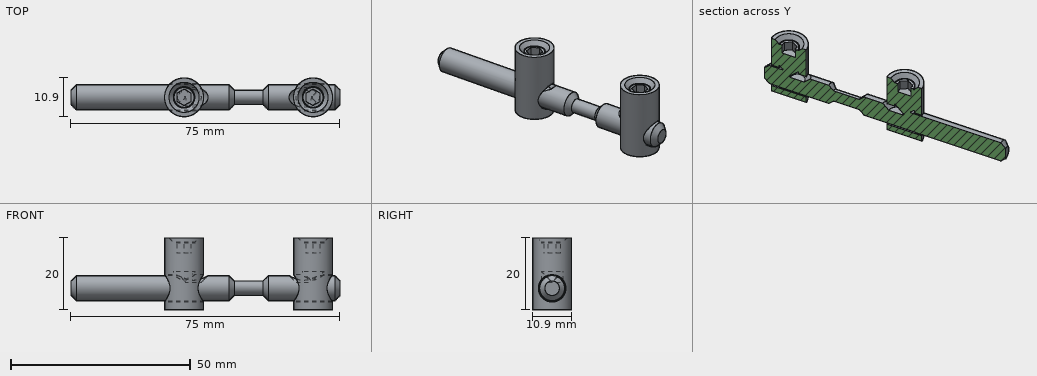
import cadquery as cq
import math

rod_length = 75.0
rod_diameter = 7.05
rod_axis_height = 6.0
rod_chamfer = 1.5
neck_start = 45.5
neck_length = 7.95
neck_end = neck_start + neck_length
rod_radius = rod_diameter / 2
neck_radius = rod_radius - rod_chamfer

sleeve_diameter = 10.9
sleeve_height = 20.0
sleeve_positions = (31.5, 67.4)
cross_hole_diameter = 7.6

screw_diameter = 6.0
countersink_diameter = 8.4
countersink_depth = (countersink_diameter - screw_diameter) / 2
screw_recess = countersink_depth
screw_chamfer = 0.2
screw_tip_height = 3.0
hex_across_flats = 4.0
hex_depth = 3.0

seat_radius = 4.05
seat_offset = 2.6
seat_depth = 1.9
seat_top = rod_axis_height + rod_radius
seat_floor = seat_top - seat_depth


def make_rod():
    """Turned rod with chamfered ends and a chamfered neck."""
    profile = [
        (0, 0),
        (0, neck_radius),
        (rod_chamfer, rod_radius),
        (neck_start - rod_chamfer, rod_radius),
        (neck_start, neck_radius),
        (neck_end, neck_radius),
        (neck_end + rod_chamfer, rod_radius),
        (rod_length - rod_chamfer, rod_radius),
        (rod_length, neck_radius),
        (rod_length, 0),
    ]
    rod = cq.Workplane("XY").polyline(profile).close().revolve(360, (0, 0, 0), (1, 0, 0))
    return rod.translate((0, 0, rod_axis_height))


def make_seat(x):
    """Cutter for a 90 degree conical seat with a flat floor."""
    return cq.Workplane(cq.Solid.makeCone(
        seat_radius - seat_depth, seat_radius, seat_depth, cq.Vector(x, 0, seat_floor)
    ))


def make_sleeve(x):
    """Sleeve with a cross hole for the rod and a countersunk screw bore."""
    sleeve = cq.Workplane("XY").center(x, 0).circle(sleeve_diameter / 2).extrude(sleeve_height)
    cross_hole = (
        cq.Workplane("YZ", origin=(x - sleeve_diameter / 2, 0, rod_axis_height))
        .circle(cross_hole_diameter / 2)
        .extrude(sleeve_diameter)
    )
    bore = (
        cq.Workplane("XY", origin=(x, 0, rod_axis_height))
        .circle(screw_diameter / 2)
        .extrude(sleeve_height - rod_axis_height)
    )
    countersink = cq.Workplane(cq.Solid.makeCone(
        screw_diameter / 2,
        countersink_diameter / 2,
        countersink_depth,
        cq.Vector(x, 0, sleeve_height - countersink_depth),
    ))
    return sleeve.cut(cross_hole).cut(bore).cut(countersink)


def make_screw(x):
    """Set screw with a hexagon socket and a conical tip bearing on the rod."""
    radius = screw_diameter / 2
    top = sleeve_height - screw_recess
    profile = [
        (0, seat_floor),
        (radius, seat_floor + screw_tip_height),
        (radius, top - screw_chamfer),
        (radius - screw_chamfer, top),
        (0, top),
    ]
    screw = cq.Workplane("XZ").polyline(profile).close().revolve(360, (0, 0, 0), (0, 1, 0))
    socket = (
        cq.Workplane("XY", origin=(0, 0, top))
        .transformed(rotate=(0, 0, 30))
        .polygon(6, hex_across_flats / math.cos(math.pi / 6))
        .extrude(-hex_depth)
    )
    return screw.cut(socket).translate((x, 0, 0))


result = make_rod()
first_sleeve, second_sleeve = sleeve_positions
result = result.cut(make_seat(first_sleeve + seat_offset))
result = result.cut(make_seat(second_sleeve - seat_offset))

for position in sleeve_positions:
    result = result.union(make_sleeve(position)).union(make_screw(position))